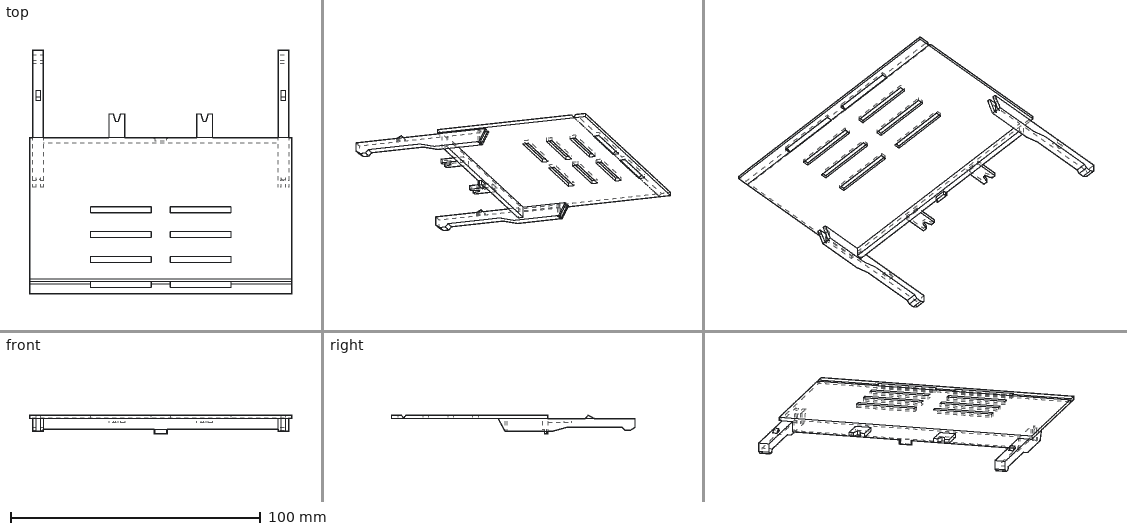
import cadquery as cq


plate_width = 105.0
plate_depth = 62.6
plate_thickness = 1.4
mid_x = plate_width / 2

slot_length = 24.2
slot_width = 2.3
slot_gap = 7.8
slot_first_y = 2.6
slot_pitch = 10.0
slot_rows = 4

groove_y = 4.9
groove_width = 1.9
groove_depth = 1.0

wall_thickness = 2.1
wall_bottom = -5.7
total_height = 7.5
lug_width = 5.4
lug_thickness = 1.4
lug_step = 0.4

arm_width = 4.3
arm_inset = 1.3
arm_tip_y = 97.5
arm_top = -plate_thickness
arm_shank_bottom = -4.8
arm_foot_bottom = -6.1
arm_root_bottom = -6.5
arm_front_top_y = 42.7
arm_front_bottom_y = 45.5
ramp_start_y = 64.4
ramp_end_y = 70.5
foot_back_y = 92.3
foot_flat_start_y = 93.5
foot_flat_end_y = 95.7

channel_width = 1.8
catch_width = channel_width
catch_front_y = 77.5
catch_peak_y = 78.8
catch_back_y = 81.4

tongue_width = 6.4
tongue_offset = 17.5
tongue_reach = 9.5
tongue_thickness = 1.6
notch_mouth = 2.8
notch_floor = 1.0
notch_depth = 2.9


def block(x0, x1, y0, y1, z0, z1):
    """Box between two opposite corners."""
    return cq.Workplane("XY").box(x1 - x0, y1 - y0, z1 - z0, centered=False).translate((x0, y0, z0))


def side_profile(points, x0, width):
    """Extrude a (Y, Z) outline along +X from x0."""
    return cq.Workplane("YZ").polyline(points).close().extrude(width).translate((x0, 0, 0))


def make_plate():
    plate = block(0, plate_width, 0, plate_depth, -plate_thickness, 0)
    for row in range(slot_rows):
        y0 = slot_first_y + row * slot_pitch
        for x0 in (mid_x - slot_gap / 2 - slot_length, mid_x + slot_gap / 2):
            plate = plate.cut(block(x0, x0 + slot_length, y0, y0 + slot_width, -plate_thickness, 0))
    groove = [
        (groove_y - groove_width / 2, 0),
        (groove_y, -groove_depth),
        (groove_y + groove_width / 2, 0),
    ]
    return plate.cut(side_profile(groove, 0, plate_width))


def make_wall():
    side = arm_inset + arm_width
    front_y = plate_depth - wall_thickness
    wall = block(side, plate_width - side, front_y, plate_depth, wall_bottom, -plate_thickness)
    half = lug_width / 2
    lug_back = block(mid_x - half, mid_x + half, plate_depth - lug_step, plate_depth,
                     -total_height, wall_bottom)
    lug_front = block(mid_x - half + lug_step, mid_x + half - lug_step,
                      plate_depth - lug_thickness, plate_depth, -total_height, wall_bottom)
    return wall.union(lug_back).union(lug_front)


def make_arm(x0):
    outline = [
        (arm_front_top_y, arm_top),
        (arm_front_bottom_y, arm_root_bottom),
        (ramp_start_y, arm_root_bottom),
        (ramp_end_y, arm_shank_bottom),
        (foot_back_y, arm_shank_bottom),
        (foot_flat_start_y, arm_foot_bottom),
        (foot_flat_end_y, arm_foot_bottom),
        (arm_tip_y, arm_shank_bottom),
        (arm_tip_y, arm_top),
    ]
    arm = side_profile(outline, x0, arm_width)
    center_x = x0 + arm_width / 2

    nose_radius = channel_width / 2
    nose_center_y = arm_front_bottom_y + nose_radius
    nose = (
        cq.Workplane("XY", origin=(center_x, nose_center_y, arm_root_bottom))
        .circle(nose_radius)
        .extrude(arm_top - arm_root_bottom)
    )
    channel = block(center_x - nose_radius, center_x + nose_radius,
                    arm_front_top_y, nose_center_y, arm_root_bottom, arm_top).cut(nose)
    catch = side_profile(
        [(catch_front_y, arm_top), (catch_peak_y, 0), (catch_back_y, arm_top)],
        center_x - catch_width / 2, catch_width,
    )
    return arm.cut(channel).union(catch)


def make_tongue(center_x):
    back_y = plate_depth + tongue_reach
    tongue = block(center_x - tongue_width / 2, center_x + tongue_width / 2,
                   plate_depth - wall_thickness, back_y, arm_top - tongue_thickness, arm_top)
    notch = (
        cq.Workplane("XY", origin=(center_x, back_y, arm_top - tongue_thickness))
        .polyline([
            (-notch_mouth / 2, 0),
            (-notch_floor / 2, -notch_depth),
            (notch_floor / 2, -notch_depth),
            (notch_mouth / 2, 0),
        ])
        .close()
        .extrude(tongue_thickness)
    )
    return tongue.cut(notch)


result = make_plate().union(make_wall())
for arm_x in (arm_inset, plate_width - arm_inset - arm_width):
    result = result.union(make_arm(arm_x))
for side in (-1, 1):
    result = result.union(make_tongue(mid_x + side * tongue_offset))